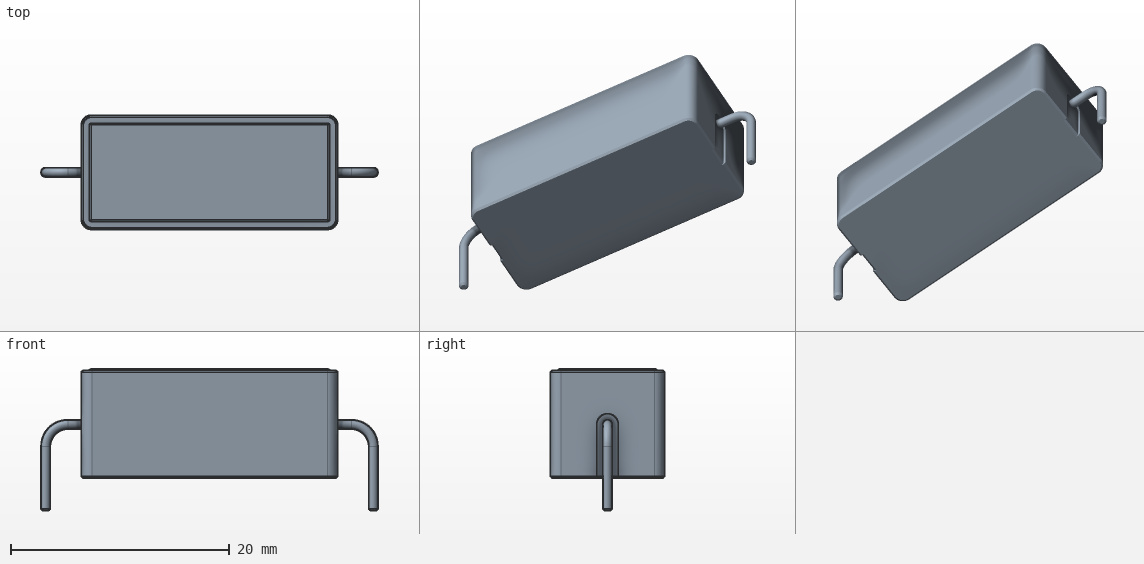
import cadquery as cq

total_length = 30.85
total_height = 13.0

body_length = 23.5
body_width = 10.5
body_corner_radius = 1.0
body_edge_chamfer = 0.2

panel_length = 22.0
panel_width = 9.0
panel_height = 0.12
panel_bevel_width = 0.15
panel_bevel_height = 0.1
panel_corner_radius = 0.22

lead_diameter = 0.85
lead_bend_radius = 2.0
lead_tip_chamfer = 0.2
lead_below_body = 3.0
lead_exit_height = 4.9
lead_embedment = 0.62

slot_width = 1.97
slot_depth = 0.2

body_height = total_height - lead_below_body - panel_height
lead_x = (total_length - lead_diameter) / 2
body_end_x = body_length / 2


def make_block(length):
    """Block of the given length with rounded upright corners and chamfered top and bottom edges."""
    block = cq.Workplane("XY").box(length, body_width, body_height, centered=(True, True, False))
    block = block.edges("|Z").fillet(body_corner_radius)
    return block.faces("<Z or >Z").edges().chamfer(body_edge_chamfer)


def make_panel():
    """Thin raised rectangle with a bevelled top edge."""
    panel = (
        cq.Workplane("XY")
        .workplane(offset=body_height)
        .rect(panel_length, panel_width)
        .extrude(panel_height)
        .edges("|Z")
        .fillet(panel_corner_radius)
    )
    return panel.faces(">Z").chamfer(panel_bevel_height, panel_bevel_width)


def make_left_slot():
    """Round-topped cutter for the -X end face, whose floor keeps the chamfer at the bottom of the body."""
    radius = slot_width / 2
    arch = (
        cq.Workplane("YZ", origin=(-body_end_x, 0, 0))
        .moveTo(-radius, 0)
        .lineTo(-radius, lead_exit_height)
        .threePointArc((0, lead_exit_height + radius), (radius, lead_exit_height))
        .lineTo(radius, 0)
        .close()
        .extrude(slot_depth + body_edge_chamfer)
    )
    return arch.cut(make_block(body_length - 2 * slot_depth))


def make_left_lead():
    """Round wire leaving the -X end face and bending down past the body."""
    path = (
        cq.Workplane("XZ")
        .moveTo(-lead_x, -lead_below_body)
        .lineTo(-lead_x, lead_exit_height - lead_bend_radius)
        .tangentArcPoint((lead_bend_radius, lead_bend_radius))
        .lineTo(-body_end_x + lead_embedment, lead_exit_height)
    )
    lead = (
        cq.Workplane("XY", origin=(-lead_x, 0, -lead_below_body))
        .circle(lead_diameter / 2)
        .sweep(path)
    )
    return lead.faces("<Z").chamfer(lead_tip_chamfer)


left_slot = make_left_slot()
left_lead = make_left_lead()

result = make_block(body_length).union(make_panel())
for slot in (left_slot, left_slot.mirror("YZ")):
    result = result.cut(slot)
for lead in (left_lead, left_lead.mirror("YZ")):
    result = result.union(lead)